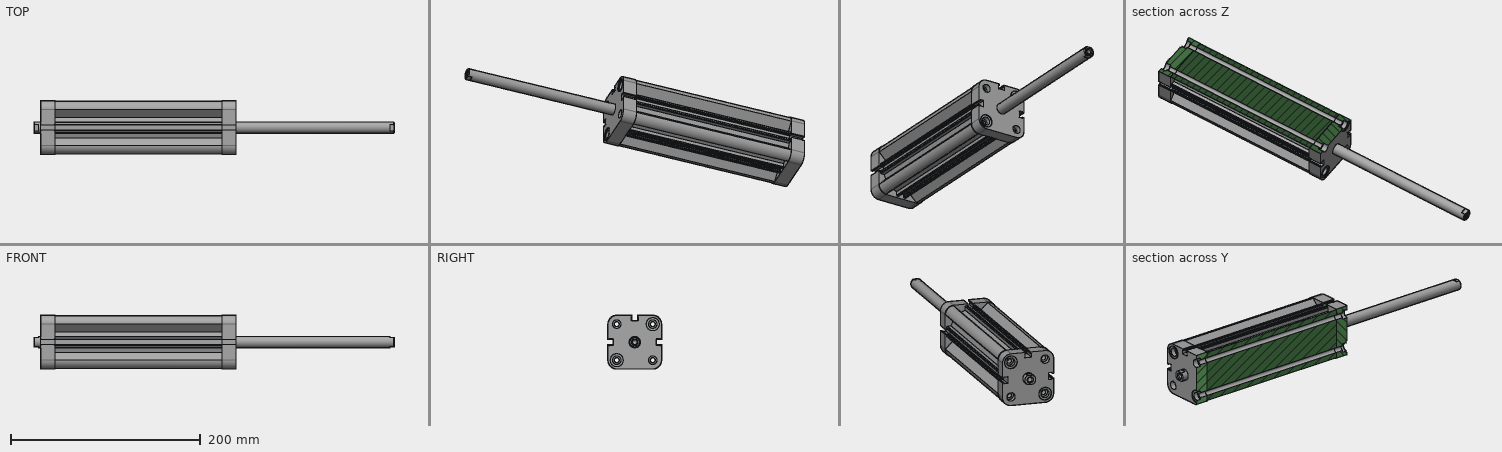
import cadquery as cq
import math

side = 57.0
body_length = 206.0
cap_length = 15.0
barrel_length = body_length - 2 * cap_length
barrel_side = 56.0
half_side = side / 2

hole_spacing = 38.0
half_spacing = hole_spacing / 2
screw_hole_diameter = 5.0
counterbore_diameter = 9.0
counterbore_depth = 6.0
spotface_diameter = 13.8
spotface_depth = 1.0
spotfaced_corners = [(half_spacing, half_spacing), (-half_spacing, -half_spacing)]
plain_corners = [(-half_spacing, half_spacing), (half_spacing, -half_spacing)]
all_corners = spotfaced_corners + plain_corners

slot_width = 5.4
slot_depth = 5.8
undercut_width = 7.4
undercut_top_depth = 1.8
slotted_sides = (-90, 0, 90)

groove_half_width = half_spacing
groove_bottom_half_width = 10.9
groove_wall_angle = 45.0
rail_half_width = 6.0
rail_flank_angle = 21.0
rail_top_depth = 1.9
rail_lip_thickness = 2.8
rail_lip_chamfer = 0.8
t_slot_inner_width = 6.4
grooved_sides = (0, 90, 180, 270)

rod_diameter = 12.0
rod_length = 380.0
rod_start = -7.0
rod_end = rod_start + rod_length
rod_end_chamfer = 1.0
flat_spacing = 10.0
flat_length = 4.8
thread_hole_diameter = 5.0
thread_hole_depth = 12.0
thread_chamfer = 1.0
drill_tip_angle = 118.0


def tangent(angle):
    return math.tan(math.radians(angle))


def section(start):
    """Sketch plane across the rod axis: local x is Y and local y is Z."""
    return cq.Workplane("YZ").workplane(offset=start)


def rounded_bar(width, start, length):
    bar = section(start).rect(width, width).extrude(length)
    return bar.edges("|X").fillet((width - hole_spacing) / 2)


def cylinders(points, diameter, start, length):
    return section(start).pushPoints(points).circle(diameter / 2).extrude(length)


def cut_on_sides(body, cutter, angles):
    """Cut a +Z side feature into the sides reached by turning it about X."""
    for angle in angles:
        body = body.cut(cutter.rotate((0, 0, 0), (1, 0, 0), angle))
    return body


def cap_slot():
    undercut_height = slot_depth - undercut_top_depth
    floor = half_side - slot_depth
    opening = section(0).center(0, floor + slot_depth / 2).rect(slot_width, slot_depth).extrude(cap_length)
    undercut = section(0).center(0, floor + undercut_height / 2).rect(undercut_width, undercut_height)
    return opening.union(undercut.extrude(cap_length))


def make_left_cap():
    cap = rounded_bar(side, 0, cap_length)
    cap = cut_on_sides(cap, cap_slot(), slotted_sides)
    cap = cap.cut(cylinders(all_corners, screw_hole_diameter, 0, cap_length))
    cap = cap.cut(cylinders(all_corners, counterbore_diameter, 0, counterbore_depth))
    cap = cap.cut(cylinders(spotfaced_corners, spotface_diameter, 0, spotface_depth))
    return cap.cut(cylinders([(0, 0)], rod_diameter, 0, cap_length))


def barrel_groove():
    surface = barrel_side / 2
    bottom = surface - (groove_half_width - groove_bottom_half_width) * tangent(groove_wall_angle)
    rail_foot = bottom + (groove_bottom_half_width - rail_half_width) * tangent(rail_flank_angle)
    rail_top = half_side - rail_top_depth
    lip_underside = rail_top - rail_lip_thickness
    slot_floor = half_side - slot_depth
    right_half = [
        (t_slot_inner_width / 2, slot_floor),
        (t_slot_inner_width / 2, lip_underside),
        (slot_width / 2, lip_underside),
        (slot_width / 2, rail_top - rail_lip_chamfer),
        (slot_width / 2 + rail_lip_chamfer, rail_top),
        (rail_half_width - rail_lip_chamfer, rail_top),
        (rail_half_width, rail_top - rail_lip_chamfer),
        (rail_half_width, rail_foot),
        (groove_bottom_half_width, bottom),
        (groove_half_width, surface),
    ]
    left_half = [(-y, z) for y, z in reversed(right_half)]
    return section(cap_length).polyline(right_half + left_half).close().extrude(barrel_length)


def make_barrel():
    barrel = rounded_bar(barrel_side, cap_length, barrel_length)
    barrel = cut_on_sides(barrel, barrel_groove(), grooved_sides)
    barrel = barrel.cut(cylinders(all_corners, screw_hole_diameter, cap_length, barrel_length))
    return barrel.cut(cylinders([(0, 0)], rod_diameter, cap_length, barrel_length))


def revolved_about_x(profile):
    return cq.Workplane("XZ").polyline(profile).close().revolve(360, (0, 0, 0), (1, 0, 0))


def rod_flats():
    """Material beyond the wrench flats above and below the left rod end."""
    height = (rod_diameter - flat_spacing) / 2
    middle = (flat_spacing + height) / 2
    strips = section(rod_start).pushPoints([(0, middle), (0, -middle)]).rect(rod_diameter, height)
    return strips.extrude(flat_length)


def rod_thread_hole():
    radius = thread_hole_diameter / 2
    bottom = rod_start + thread_hole_depth
    tip = bottom + radius / tangent(drill_tip_angle / 2)
    return revolved_about_x([
        (rod_start, 0),
        (rod_start, radius + thread_chamfer),
        (rod_start + thread_chamfer, radius),
        (bottom, radius),
        (tip, 0),
    ])


def make_rod():
    radius = rod_diameter / 2
    rod = revolved_about_x([
        (rod_start, 0),
        (rod_start, radius),
        (rod_end - rod_end_chamfer, radius),
        (rod_end, radius - rod_end_chamfer),
        (rod_end, 0),
    ])
    rod_middle = ((rod_start + rod_end) / 2, 0, 0)
    for cutter in (rod_flats(), rod_thread_hole()):
        rod = rod.cut(cutter)
        rod = rod.cut(cutter.mirror("YZ", rod_middle))
    return rod


left_cap = make_left_cap()
right_cap = left_cap.mirror("YZ", (body_length / 2, 0, 0))
barrel = make_barrel()
rod = make_rod()

result = cq.Compound.makeCompound([left_cap.val(), right_cap.val(), barrel.val(), rod.val()])